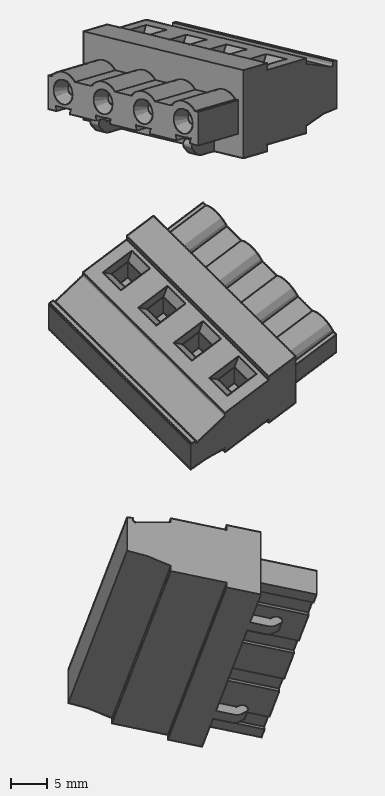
import cadquery as cq
import math


pole_count = 4
pole_pitch = 7.5
pole_xs = [(i - (pole_count - 1) / 2) * pole_pitch for i in range(pole_count)]

width = pole_count * pole_pitch
height = 12.7
mid_z = height / 2
total_length = 27.6
plug_length = 8.3
body_length = total_length - plug_length

flange_depth = 4.95
flange_step = 0.97
shoulder_y = 13.0
shoulder_root_radius = 0.3
ramp_top_z = 10.86

lip_top_z = 10.17
lip_front_y = 18.44
lip_rear_drop = 0.08
lip_rear_setback = 0.22
lip_root_radius = 0.35
lip_root_z = 9.46

underside_rear_z = 3.27
underside_break_y = 16.5
underside_break_z = 3.04
underside_shoulder_z = 2.04

plug_width = 28.15
plug_bottom_z = 3.38
plug_flat_top_z = 8.22
hump_radius = 2.91
socket_mouth_diameter = 3.55
socket_floor_diameter = 1.6
socket_depth = 1.9

groove_top_width = 2.8
groove_mouth_width = 2.45
groove_height = 0.74

window_y = 8.26
window_width = 3.8
window_length = 5.35
well_width = 2.8
well_length = 3.0
window_taper_depth = 1.05
well_floor_z = mid_z

hook_x = 8.7
hook_width = 1.6
hook_arm_thickness = 1.69
hook_tip_reach = 3.95
hook_tip_z = 1.64
hook_tip_radius = 0.67
hook_heel_radius = 1.6
hook_throat_angle = math.radians(38)


def extrude_along_x(profile, length, center_x):
    """Extrude a closed YZ profile so that it is centred on center_x."""
    return profile.extrude(length / 2, both=True).translate((center_x, 0, 0))


def make_body():
    """Housing: flange, middle block and tapered rear with its lip."""
    top_step_z = height - flange_step
    profile = (
        cq.Workplane("YZ")
        .moveTo(0, 0)
        .lineTo(flange_depth, 0)
        .lineTo(flange_depth, flange_step)
        .lineTo(shoulder_y, flange_step)
        .lineTo(shoulder_y, underside_shoulder_z)
        .lineTo(underside_break_y, underside_break_z)
        .lineTo(body_length, underside_rear_z)
        .lineTo(body_length, lip_top_z - lip_rear_drop)
        .lineTo(body_length - lip_rear_setback, lip_top_z)
        .lineTo(lip_front_y, lip_top_z)
        .lineTo(lip_front_y, lip_root_z + lip_root_radius)
        .radiusArc((lip_front_y - lip_root_radius, lip_root_z), lip_root_radius)
        .lineTo(shoulder_y + shoulder_root_radius, ramp_top_z)
        .radiusArc((shoulder_y, ramp_top_z + shoulder_root_radius), shoulder_root_radius)
        .lineTo(shoulder_y, top_step_z)
        .lineTo(flange_depth, top_step_z)
        .lineTo(flange_depth, height)
        .lineTo(0, height)
        .close()
    )
    return extrude_along_x(profile, width, 0)


def make_window(x):
    """Cutter for one screw window: a tapered mouth over a straight well."""
    top_z = height - flange_step
    well_top_z = top_z - window_taper_depth
    mouth = (
        cq.Workplane("XY", origin=(x, window_y, well_top_z))
        .rect(well_width, well_length)
        .workplane(offset=window_taper_depth)
        .rect(window_width, window_length)
        .loft(ruled=True)
    )
    well = (
        cq.Workplane("XY", origin=(x, window_y, well_floor_z))
        .rect(well_width, well_length)
        .extrude(well_top_z - well_floor_z)
    )
    return mouth.union(well)


def make_plug():
    """Plug bar with a rounded hump over every pole."""
    bar_height = plug_flat_top_z - plug_bottom_z
    plug = cq.Workplane("XY").box(
        plug_width, plug_length, bar_height, centered=(True, False, False)
    ).translate((0, -plug_length, plug_bottom_z))
    rise = plug_flat_top_z - mid_z
    half_chord = math.sqrt(hump_radius**2 - rise**2)
    for x in pole_xs:
        hump = (
            cq.Workplane("XZ")
            .moveTo(x - half_chord, plug_flat_top_z)
            .threePointArc((x, mid_z + hump_radius), (x + half_chord, plug_flat_top_z))
            .close()
            .extrude(plug_length)
        )
        plug = plug.union(hump)
    return plug


def make_socket(x):
    """Cutter for one conical contact socket in the front of the plug."""
    return (
        cq.Workplane("XZ", origin=(x, -plug_length, mid_z))
        .circle(socket_mouth_diameter / 2)
        .workplane(offset=-socket_depth)
        .circle(socket_floor_diameter / 2)
        .loft()
    )


def make_groove(x):
    """Cutter for one dovetail groove along the underside of the plug."""
    groove_top_z = plug_bottom_z + groove_height
    return (
        cq.Workplane("XZ")
        .moveTo(x - groove_mouth_width / 2, plug_bottom_z)
        .lineTo(x - groove_top_width / 2, groove_top_z)
        .lineTo(x + groove_top_width / 2, groove_top_z)
        .lineTo(x + groove_mouth_width / 2, plug_bottom_z)
        .close()
        .extrude(plug_length)
    )


def make_hook(x):
    """Latch hook: a flat arm bent up to a rounded tip, 45 degrees along its outer side."""
    diagonal = math.sqrt(0.5)
    tip_offset = hook_tip_radius * diagonal
    inner_y = -hook_tip_reach + hook_tip_radius * math.sin(hook_throat_angle)
    inner_z = hook_tip_z + hook_tip_radius * math.cos(hook_throat_angle)
    throat_y = inner_y + (inner_z - hook_arm_thickness) / math.tan(hook_throat_angle)
    outer_y = -hook_tip_reach - tip_offset
    outer_z = hook_tip_z - tip_offset
    heel_end_z = hook_heel_radius * (1 - diagonal)
    heel_end_y = outer_y + outer_z - heel_end_z
    heel_start_y = heel_end_y + hook_heel_radius * diagonal
    profile = (
        cq.Workplane("YZ")
        .moveTo(0, 0)
        .lineTo(heel_start_y, 0)
        .radiusArc((heel_end_y, heel_end_z), hook_heel_radius)
        .lineTo(outer_y, outer_z)
        .threePointArc(
            (outer_y, hook_tip_z + tip_offset),
            (inner_y, inner_z),
        )
        .lineTo(throat_y, hook_arm_thickness)
        .lineTo(0, hook_arm_thickness)
        .close()
    )
    return extrude_along_x(profile, hook_width, x)


result = make_body().union(make_plug())
for hook_center in (-hook_x, hook_x):
    result = result.union(make_hook(hook_center))
for pole_x in pole_xs:
    result = result.cut(make_window(pole_x))
    result = result.cut(make_socket(pole_x))
    result = result.cut(make_groove(pole_x))